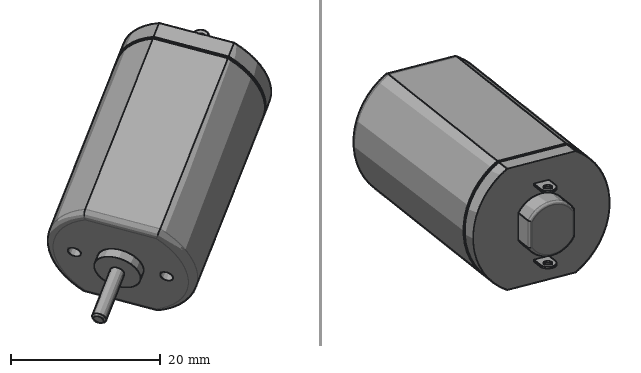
import cadquery as cq
import math

overall_length = 45.6

body_diameter = 21.0
body_height = 18.2
body_length = 33.1
front_fillet = 1.0
cap_length = 2.35
seam_width = 0.27
seam_depth = 0.1

collar_diameter = 6.5
collar_length = 1.35
shaft_diameter = 2.0
shaft_chamfer = 0.27

mount_diameter = 1.82
mount_offset = 6.48
mount_depth = 2.0
drill_point_angle = 118.0

boss_diameter = 8.15
boss_width = 7.05
boss_length = 2.9
boss_fillet = 0.4

terminal_width = 2.33
terminal_thickness = 0.27
terminal_offset = 5.7
terminal_hole = 1.2

y_rear = overall_length / 2
y_body_rear = y_rear - boss_length
y_body_front = y_body_rear - body_length
y_collar_front = y_body_front - collar_length
y_shaft_front = -overall_length / 2


def rod(diameter, y_start, y_end):
    """Cylinder on the motor axis, from y_start back to y_end."""
    plane = cq.Workplane("XZ", origin=(0, y_start, 0))
    return plane.circle(diameter / 2).extrude(y_start - y_end)


def flatted_rod(diameter, width, height, y_start, y_end):
    """Cylinder on the motor axis, trimmed to a width in X and a height in Z."""
    length = y_end - y_start
    limit = cq.Workplane("XY").box(width, length, height)
    limit = limit.translate((0, (y_start + y_end) / 2, 0))
    return rod(diameter, y_start, y_end).intersect(limit)


def make_body():
    y_seam_rear = y_body_rear - cap_length
    y_seam_front = y_seam_rear - seam_width
    can = flatted_rod(body_diameter, body_diameter, body_height, y_body_front, y_seam_front)
    can = can.faces("<Y").edges().fillet(front_fillet)
    seam = flatted_rod(
        body_diameter - 2 * seam_depth,
        body_diameter,
        body_height - 2 * seam_depth,
        y_seam_front,
        y_seam_rear,
    )
    cap = flatted_rod(body_diameter, body_diameter, body_height, y_seam_rear, y_body_rear)
    return can.union(seam).union(cap)


def make_shaft():
    collar = rod(collar_diameter, y_collar_front, y_body_front)
    shaft = rod(shaft_diameter, y_shaft_front, y_body_front)
    shaft = shaft.faces("<Y").chamfer(shaft_chamfer)
    return collar.union(shaft)


def make_mount_hole(x):
    radius = mount_diameter / 2
    point_depth = radius / math.tan(math.radians(drill_point_angle / 2))
    profile = (
        cq.Workplane("XY", origin=(x, y_body_front, 0))
        .lineTo(radius, 0)
        .lineTo(radius, mount_depth)
        .lineTo(0, mount_depth + point_depth)
        .close()
    )
    return profile.revolve(360, (0, 0), (0, 1))


def make_boss():
    boss = flatted_rod(boss_diameter, boss_width, boss_diameter, y_body_rear, y_rear)
    return boss.faces(">Y").edges().fillet(boss_fillet)


def make_terminal(z):
    radius = terminal_width / 2
    y_eye = y_rear - radius
    plane = cq.Workplane("XY", origin=(0, 0, z - terminal_thickness / 2))
    blade = (
        plane.moveTo(-radius, y_body_rear)
        .lineTo(radius, y_body_rear)
        .lineTo(radius, y_eye)
        .threePointArc((0, y_rear), (-radius, y_eye))
        .close()
        .extrude(terminal_thickness)
    )
    eye = plane.center(0, y_eye).circle(terminal_hole / 2).extrude(terminal_thickness)
    return blade.cut(eye)


result = make_body().union(make_shaft()).union(make_boss())
for side in (-1, 1):
    result = result.cut(make_mount_hole(side * mount_offset))
    result = result.union(make_terminal(side * terminal_offset))